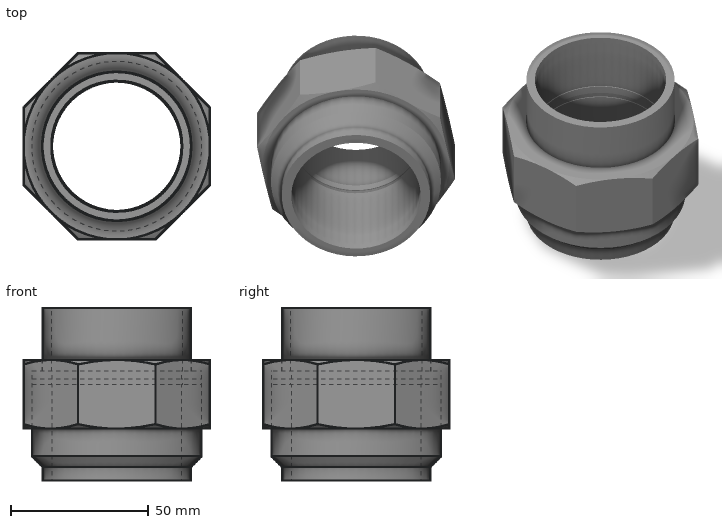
import cadquery as cq
import math

total_height = 63.0
nut_width = 68.0
nut_sides = 8
nut_bottom = 19.0
nut_top = 44.0
nut_chamfer_angle = 30.0
nut_clearance = 0.2

pipe_radius = 27.05
socket_radius = 23.95
lip_radius = 23.6
gasket_bore_radius = 23.95
sleeve_radius = 31.0
spigot_height = 5.0
lower_cone_height = sleeve_radius - pipe_radius

gasket_bottom = 35.0
gasket_thickness = 2.0
flange_thickness = 3.0

cone_top = spigot_height + lower_cone_height
flange_bottom = gasket_bottom + gasket_thickness
flange_top = flange_bottom + flange_thickness
nut_hole_radius = pipe_radius + nut_clearance


def disc(radius, bottom, top):
    """Solid cylinder between two levels."""
    return cq.Workplane("XY").workplane(offset=bottom).circle(radius).extrude(top - bottom)


def revolve_profile(points):
    """Turn a closed (radius, z) outline around the Z axis."""
    return cq.Workplane("XZ").polyline(points).close().revolve(360, (0, 0), (0, 1))


def make_lower_body():
    """Plain-bored sleeve that tapers to a narrow spigot at its base."""
    return revolve_profile([
        (lip_radius, 0),
        (pipe_radius, 0),
        (pipe_radius, spigot_height),
        (sleeve_radius, cone_top),
        (sleeve_radius, gasket_bottom),
        (lip_radius, gasket_bottom),
    ])


def make_gasket():
    """Flat ring clamped between the lower body and the upper flange."""
    ring = disc(sleeve_radius, gasket_bottom, flange_bottom)
    return ring.cut(disc(gasket_bore_radius, gasket_bottom, flange_bottom))


def make_upper_pipe():
    """Flanged pipe whose socket ends on a shallow lip inside the flange."""
    flange = disc(sleeve_radius, flange_bottom, flange_top)
    pipe = disc(pipe_radius, flange_bottom, total_height)
    lip_bore = disc(lip_radius, flange_bottom, flange_top)
    socket = disc(socket_radius, flange_top, total_height)
    return flange.union(pipe).cut(lip_bore).cut(socket)


def make_nut():
    """Octagonal nut with its corners chamfered at both ends."""
    corner_radius = nut_width / 2 / math.cos(math.pi / nut_sides)
    prism = (
        cq.Workplane("XY")
        .workplane(offset=nut_bottom)
        .transformed(rotate=(0, 0, 180 / nut_sides))
        .polygon(nut_sides, 2 * corner_radius)
        .extrude(nut_top - nut_bottom)
    )
    chamfer_drop = (corner_radius - nut_width / 2) * math.tan(math.radians(nut_chamfer_angle))
    envelope = revolve_profile([
        (0, nut_bottom),
        (nut_width / 2, nut_bottom),
        (corner_radius, nut_bottom + chamfer_drop),
        (corner_radius, nut_top - chamfer_drop),
        (nut_width / 2, nut_top),
        (0, nut_top),
    ])
    blank = prism.intersect(envelope)
    sleeve_bore = disc(sleeve_radius, nut_bottom, flange_top)
    pipe_hole = disc(nut_hole_radius, flange_top, nut_top)
    return blank.cut(sleeve_bore).cut(pipe_hole)


lower_body = make_lower_body()
gasket = make_gasket()
upper_pipe = make_upper_pipe()
nut = make_nut()

result = cq.Compound.makeCompound([
    lower_body.val(),
    gasket.val(),
    upper_pipe.val(),
    nut.val(),
])